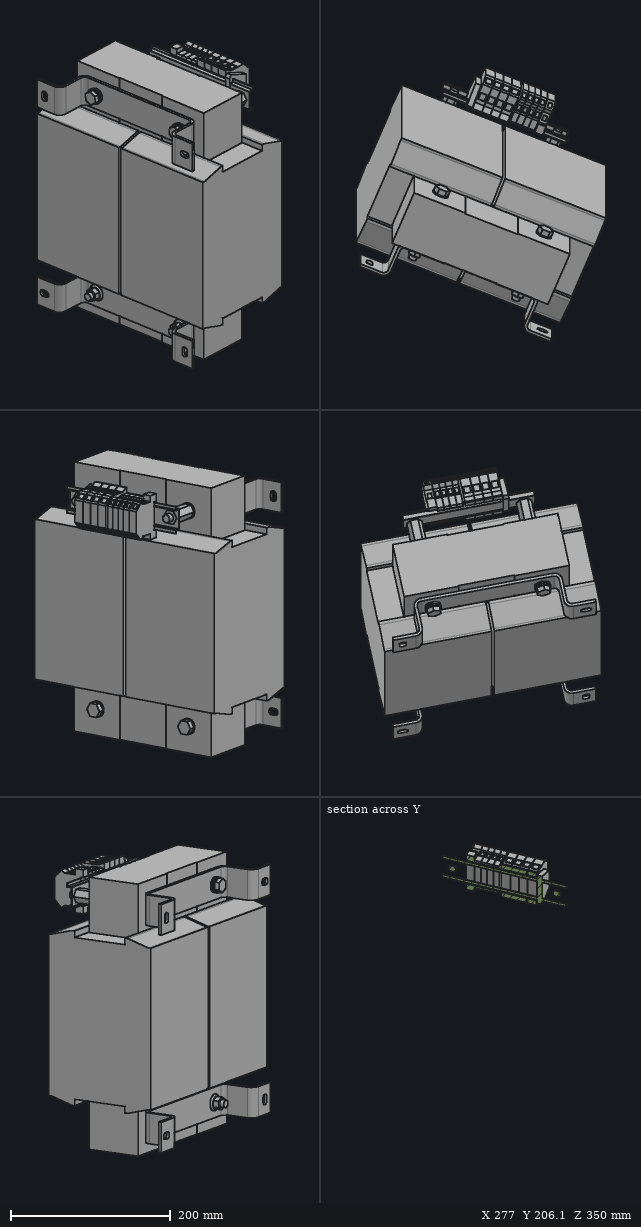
import cadquery as cq
import math


CORE_WIDTH = 211.0
CORE_DEPTH = 72.0
CORE_HEIGHT = 350.0
YOKE_HEIGHT = 70.0
YOKE_INNER_Z = CORE_HEIGHT / 2 - YOKE_HEIGHT
LEG_WIDTH = 70.0
CORE_FACE_Y = CORE_DEPTH / 2
YOKE_RECESS = 1.0

COILS_WIDTH = 277.0
COIL_DEPTH = 150.0
COIL_GAP = 3.5
COIL_WIDTH = (COILS_WIDTH - COIL_GAP) / 2
COIL_X = (COILS_WIDTH + COIL_GAP) / 4
COIL_EDGE_Z = 104.0
COIL_LIP_Z = 112.5
COIL_RIM = 3.5
COIL_LIP = 4.0
COIL_NOTCH_Y = 37.0

FIXING_Z = 140.0
FIXING_X = 70.0
STRAP_THICKNESS = 4.0
STRAP_HEIGHT = 39.5
STRAP_LENGTH = 259.0
STRAP_LEG_X = 94.5
STRAP_FOOT_Y = -85.1
BEND_INNER_RADIUS = 6.0
BEND_OUTER_RADIUS = BEND_INNER_RADIUS + STRAP_THICKNESS
STRAP_FRONT_Y = -CORE_FACE_Y - STRAP_THICKNESS
SLOT_X = 117.0
SLOT_LENGTH = 13.5
SLOT_WIDTH = 8.5
SLOT_LEVEL = 0.0
SLOT_UPRIGHT = 90.0

WASHER_DIAMETER = 20.2
SPRING_WASHER_DIAMETER = 19.4
FRONT_WASHER_THICKNESS = 2.6
BOLT_HEAD_FLATS = 16.0
BOLT_HEAD_HEIGHT = 6.4
CORNER_UP = 30.0
BOLT_HEAD_TURN = 5.0
BACK_WASHER_THICKNESS = 1.2
BACK_HEAD_FLATS = 17.0
BACK_HEAD_HEIGHT = 7.6
BACK_HEAD_Y = CORE_FACE_Y + BACK_WASHER_THICKNESS + BACK_HEAD_HEIGHT
NUT_FLANGE_DIAMETER = 21.5
NUT_FLANGE_TOP_DIAMETER = 16.5
NUT_FLANGE_HEIGHT = 2.5
NUT_FLATS = 14.5
NUT_HEIGHT = 8.0
STUD_DIAMETER = 10.0
STUD_PROJECTION = 6.0

RAIL_LENGTH = 168.0
RAIL_BACK_Y = 74.5
RAIL_DEPTH = 7.5
RAIL_THICKNESS = 1.0
RAIL_HEIGHT = 35.0
RAIL_WEB_HEIGHT = 27.0
RAIL_LIP_Y = RAIL_BACK_Y + RAIL_DEPTH
RAIL_SCREW_DIAMETER = 10.5
RAIL_SCREW_END_Y = 83.3

TERMINAL_FRONT_Y = 121.0
TERMINAL_FRONT_HALF = 14.6
TERMINAL_SHOULDER_Y = 110.9
TERMINAL_SHOULDER_HALF = 24.6
TERMINAL_STEP_Y = 105.5
TERMINAL_STEP_HALF = 20.8
TERMINAL_FOOT_HALF = 28.5
TERMINAL_FOOT_Y = 76.0
END_TERMINAL_FOOT_Y = 78.0
TERMINAL_JOINT = 0.3
RAIL_SEAT_HALF = 18.3
POCKET_DEPTH = 1.0
END_TERMINAL_EDGES = (-51.2, -40.0)
SMALL_TERMINAL_EDGES = (-40.0, -31.2, -23.3, -14.6, -6.8)
LARGE_TERMINAL_EDGES = (-4.5, 8.2, 19.6, 30.9, 43.6)
END_STOP_EDGES = (43.6, 51.3)


def box(x_range, y_range, z_range):
    """Axis-aligned block given by its limits."""
    sizes = [limits[1] - limits[0] for limits in (x_range, y_range, z_range)]
    corner = (x_range[0], y_range[0], z_range[0])
    return cq.Workplane("XY").box(*sizes, centered=False).translate(corner)


def facing(y, x, z, direction):
    """Sketch plane on a face at y, extruding towards +Y (1) or -Y (-1)."""
    return cq.Workplane(cq.Plane(origin=(x, y, z), xDir=(1, 0, 0), normal=(0, direction, 0)))


def disc(y, x, z, direction, diameter, length):
    return facing(y, x, z, direction).circle(diameter / 2).extrude(length)


def hexagon(y, x, z, direction, flats, length, turn=0.0):
    """Hexagonal prism, with a corner on the X axis before it is turned."""
    corner_diameter = flats / math.cos(math.pi / 6)
    prism = facing(y, x, z, direction).polygon(6, corner_diameter).extrude(length)
    return prism.rotate((x, 0, z), (x, 1, z), turn)


def make_core():
    half_width = CORE_WIDTH / 2
    outer = cq.Workplane("XY").box(CORE_WIDTH, CORE_DEPTH, CORE_HEIGHT)
    window_half = half_width - LEG_WIDTH
    window = cq.Workplane("XY").box(2 * window_half, CORE_DEPTH, 2 * YOKE_INNER_Z)
    core = outer.cut(window)
    for side in (-1, 1):
        y_range = sorted((side * CORE_FACE_Y, side * (CORE_FACE_Y - YOKE_RECESS)))
        recess = box((-window_half, window_half), y_range, (-CORE_HEIGHT / 2, CORE_HEIGHT / 2))
        core = core.cut(recess)
    return core


def make_coil(x):
    half_depth = COIL_DEPTH / 2
    top_right = [
        (half_depth, COIL_EDGE_Z),
        (half_depth - COIL_RIM, COIL_EDGE_Z),
        (COIL_NOTCH_Y + COIL_LIP, COIL_LIP_Z),
        (COIL_NOTCH_Y, COIL_LIP_Z),
        (COIL_NOTCH_Y, COIL_EDGE_Z),
    ]
    top = top_right + [(-y, z) for y, z in reversed(top_right)]
    bottom = [(y, -z) for y, z in reversed(top)]
    solid = cq.Workplane("YZ").polyline(top + bottom).close().extrude(COIL_WIDTH / 2, both=True)
    return solid.translate((x, 0, 0))


def make_strap(z, left_slot_turn):
    """Hat-shaped strap; the two foot slots are perpendicular to each other."""
    half_length = STRAP_LENGTH / 2
    leg_outer = STRAP_LEG_X
    leg_inner = STRAP_LEG_X - STRAP_THICKNESS
    foot_back_y = STRAP_FOOT_Y + STRAP_THICKNESS
    path = (
        cq.Workplane("XY")
        .moveTo(0, -CORE_FACE_Y)
        .lineTo(leg_outer - BEND_OUTER_RADIUS, -CORE_FACE_Y)
        .radiusArc((leg_outer, -CORE_FACE_Y - BEND_OUTER_RADIUS), BEND_OUTER_RADIUS)
        .lineTo(leg_outer, foot_back_y + BEND_INNER_RADIUS)
        .radiusArc((leg_outer + BEND_INNER_RADIUS, foot_back_y), -BEND_INNER_RADIUS)
        .lineTo(half_length, foot_back_y)
        .lineTo(half_length, STRAP_FOOT_Y)
        .lineTo(leg_inner + BEND_OUTER_RADIUS, STRAP_FOOT_Y)
        .radiusArc((leg_inner, STRAP_FOOT_Y + BEND_OUTER_RADIUS), BEND_OUTER_RADIUS)
        .lineTo(leg_inner, STRAP_FRONT_Y - BEND_INNER_RADIUS)
        .radiusArc((leg_inner - BEND_INNER_RADIUS, STRAP_FRONT_Y), -BEND_INNER_RADIUS)
        .lineTo(0, STRAP_FRONT_Y)
        .close()
    )
    half = path.extrude(STRAP_HEIGHT / 2, both=True)
    strap = half.union(half.mirror("YZ")).translate((0, 0, z))
    for x, turn in ((-SLOT_X, left_slot_turn), (SLOT_X, SLOT_UPRIGHT - left_slot_turn)):
        slot = facing(STRAP_FOOT_Y, x, z, 1).slot2D(SLOT_LENGTH, SLOT_WIDTH, turn)
        strap = strap.cut(slot.extrude(STRAP_THICKNESS))
    return strap


def make_front_bolt(x):
    """Bolt head on a spring washer and a flat washer, on the upper strap."""
    washer_y = STRAP_FRONT_Y - FRONT_WASHER_THICKNESS
    head_y = washer_y - FRONT_WASHER_THICKNESS
    turn = CORNER_UP + math.copysign(BOLT_HEAD_TURN, x)
    spring = disc(STRAP_FRONT_Y, x, FIXING_Z, -1, SPRING_WASHER_DIAMETER, FRONT_WASHER_THICKNESS)
    washer = disc(washer_y, x, FIXING_Z, -1, WASHER_DIAMETER, FRONT_WASHER_THICKNESS)
    head = hexagon(head_y, x, FIXING_Z, -1, BOLT_HEAD_FLATS, BOLT_HEAD_HEIGHT, turn)
    return spring.union(washer).union(head)


def make_front_nut(x):
    """Flanged nut and stud end, on the lower strap."""
    nut_y = STRAP_FRONT_Y - NUT_FLANGE_HEIGHT
    stud_y = nut_y - NUT_HEIGHT
    flange = (
        facing(STRAP_FRONT_Y, x, -FIXING_Z, -1)
        .circle(NUT_FLANGE_DIAMETER / 2)
        .workplane(offset=NUT_FLANGE_HEIGHT)
        .circle(NUT_FLANGE_TOP_DIAMETER / 2)
        .loft()
    )
    nut = hexagon(nut_y, x, -FIXING_Z, -1, NUT_FLATS, NUT_HEIGHT, CORNER_UP)
    stud = disc(stud_y, x, -FIXING_Z, -1, STUD_DIAMETER, STUD_PROJECTION)
    return flange.union(nut).union(stud)


def make_back_hexagon(x, z, end_y):
    """Washer on the back of a yoke carrying a hexagon that reaches end_y."""
    washer_end_y = CORE_FACE_Y + BACK_WASHER_THICKNESS
    washer = disc(CORE_FACE_Y, x, z, 1, WASHER_DIAMETER, BACK_WASHER_THICKNESS)
    return washer.union(hexagon(washer_end_y, x, z, 1, BACK_HEAD_FLATS, end_y - washer_end_y))


def make_rail():
    """Top-hat rail with the screw heads that hold it to the standoffs."""
    half_length = RAIL_LENGTH / 2
    web_half = RAIL_WEB_HEIGHT / 2
    inner_half = web_half - RAIL_THICKNESS
    x_range = (-half_length, half_length)
    outer = box(x_range, (RAIL_BACK_Y, RAIL_LIP_Y), (-web_half, web_half))
    inner = box(x_range, (RAIL_BACK_Y + RAIL_THICKNESS, RAIL_LIP_Y), (-inner_half, inner_half))
    lips = box(x_range, (RAIL_LIP_Y - RAIL_THICKNESS, RAIL_LIP_Y), (-RAIL_HEIGHT / 2, RAIL_HEIGHT / 2))
    rail = outer.union(lips).cut(inner).translate((0, 0, FIXING_Z))
    for x in (-FIXING_X, FIXING_X):
        rail = rail.union(
            disc(RAIL_BACK_Y, x, FIXING_Z, 1, RAIL_SCREW_DIAMETER, RAIL_SCREW_END_Y - RAIL_BACK_Y)
        )
    return rail


def make_housing(edges, half_profile):
    """Housing between two X edges, symmetric about the rail axis."""
    start, end = edges
    profile = half_profile + [(y, -z) for y, z in reversed(half_profile)]
    width = end - start - TERMINAL_JOINT
    housing = cq.Workplane("YZ").polyline(profile).close().extrude(width)
    return housing.translate((start + TERMINAL_JOINT / 2, 0, FIXING_Z))


def seat_on_rail(housing, edges):
    """Clear the rail section so that the housing rests on the rail lips."""
    z_range = (FIXING_Z - RAIL_SEAT_HALF, FIXING_Z + RAIL_SEAT_HALF)
    return housing.cut(box(edges, (RAIL_BACK_Y, RAIL_LIP_Y), z_range))


def cut_flat_pockets(housing, x, width, y_range, half_height):
    """Shallow rectangular pockets in the faces at +/- half_height from the rail axis."""
    for side in (-1, 1):
        face_z = FIXING_Z + side * half_height
        z_range = sorted((face_z, face_z - side * POCKET_DEPTH))
        housing = housing.cut(box((x - width / 2, x + width / 2), y_range, z_range))
    return housing


def cut_slope_pockets(housing, x, width):
    """Shallow pockets centred on the two sloped front faces."""
    slope_y = TERMINAL_FRONT_Y - TERMINAL_SHOULDER_Y
    slope_z = TERMINAL_SHOULDER_HALF - TERMINAL_FRONT_HALF
    mid_y = (TERMINAL_FRONT_Y + TERMINAL_SHOULDER_Y) / 2
    mid_half = (TERMINAL_FRONT_HALF + TERMINAL_SHOULDER_HALF) / 2
    length = math.hypot(slope_y, slope_z) / 2
    tilt = math.degrees(math.atan2(slope_z, slope_y))
    for side in (-1, 1):
        tool = cq.Workplane("XY").box(width, length, 2 * POCKET_DEPTH)
        tool = tool.rotate((0, 0, 0), (1, 0, 0), -side * tilt)
        housing = housing.cut(tool.translate((x, mid_y, FIXING_Z + side * mid_half)))
    return housing


FRONT_PROFILE = [
    (TERMINAL_FRONT_Y, TERMINAL_FRONT_HALF),
    (TERMINAL_SHOULDER_Y, TERMINAL_SHOULDER_HALF),
]


def make_end_terminal():
    step_end_y = 90.5
    pocket_width = 5.0
    pocket_y = (94.3, 101.0)
    profile = FRONT_PROFILE + [
        (TERMINAL_STEP_Y, TERMINAL_STEP_HALF),
        (step_end_y, TERMINAL_STEP_HALF),
        (step_end_y, TERMINAL_FOOT_HALF),
        (END_TERMINAL_FOOT_Y, TERMINAL_FOOT_HALF),
    ]
    x = sum(END_TERMINAL_EDGES) / 2
    housing = seat_on_rail(make_housing(END_TERMINAL_EDGES, profile), END_TERMINAL_EDGES)
    housing = cut_flat_pockets(housing, x, pocket_width, pocket_y, TERMINAL_STEP_HALF)
    return cut_slope_pockets(housing, x, pocket_width)


def make_small_terminal(edges):
    step_end_y = 94.0
    foot_start_y = 91.8
    foot_half = 22.5
    foot_chamfer = 2.5
    pocket_width = 4.8
    pocket_y = (95.0, 102.0)
    profile = FRONT_PROFILE + [
        (TERMINAL_STEP_Y, TERMINAL_STEP_HALF),
        (step_end_y, TERMINAL_STEP_HALF),
        (foot_start_y, foot_half),
        (TERMINAL_FOOT_Y + foot_chamfer, foot_half),
        (TERMINAL_FOOT_Y, foot_half - foot_chamfer),
    ]
    x = sum(edges) / 2
    housing = seat_on_rail(make_housing(edges, profile), edges)
    housing = cut_flat_pockets(housing, x, pocket_width, pocket_y, TERMINAL_STEP_HALF)
    return cut_slope_pockets(housing, x, pocket_width)


def make_large_terminal(edges):
    slope_start_y = 85.2
    slope_end_y = 77.6
    pocket_width = 8.0
    pocket_y = (90.5, 99.5)
    profile = FRONT_PROFILE + [
        (slope_start_y, TERMINAL_SHOULDER_HALF),
        (slope_end_y, TERMINAL_FOOT_HALF),
        (TERMINAL_FOOT_Y, TERMINAL_FOOT_HALF),
    ]
    x = sum(edges) / 2
    housing = seat_on_rail(make_housing(edges, profile), edges)
    housing = cut_flat_pockets(housing, x, pocket_width, pocket_y, TERMINAL_SHOULDER_HALF)
    return cut_slope_pockets(housing, x, pocket_width)


def make_end_stop():
    """Wedge that fills the rail section and closes the row of terminals."""
    front_y = 105.7
    slope_end_y = 77.5
    foot_half = 20.0
    profile = [
        (front_y, TERMINAL_FRONT_HALF),
        (slope_end_y, TERMINAL_SHOULDER_HALF),
        (RAIL_BACK_Y, foot_half),
    ]
    return make_housing(END_STOP_EDGES, profile)


def pairs(edges):
    return zip(edges[:-1], edges[1:])


result = make_core()
for coil_x in (-COIL_X, COIL_X):
    result = result.union(make_coil(coil_x))
result = result.union(make_strap(FIXING_Z, SLOT_UPRIGHT)).union(make_strap(-FIXING_Z, SLOT_LEVEL))
for fixing_x in (-FIXING_X, FIXING_X):
    result = result.union(make_front_bolt(fixing_x)).union(make_front_nut(fixing_x))
    result = result.union(make_back_hexagon(fixing_x, FIXING_Z, RAIL_BACK_Y))
    result = result.union(make_back_hexagon(fixing_x, -FIXING_Z, BACK_HEAD_Y))

result = result.union(make_rail()).union(make_end_terminal()).union(make_end_stop())
for terminal_edges in pairs(SMALL_TERMINAL_EDGES):
    result = result.union(make_small_terminal(terminal_edges))
for terminal_edges in pairs(LARGE_TERMINAL_EDGES):
    result = result.union(make_large_terminal(terminal_edges))